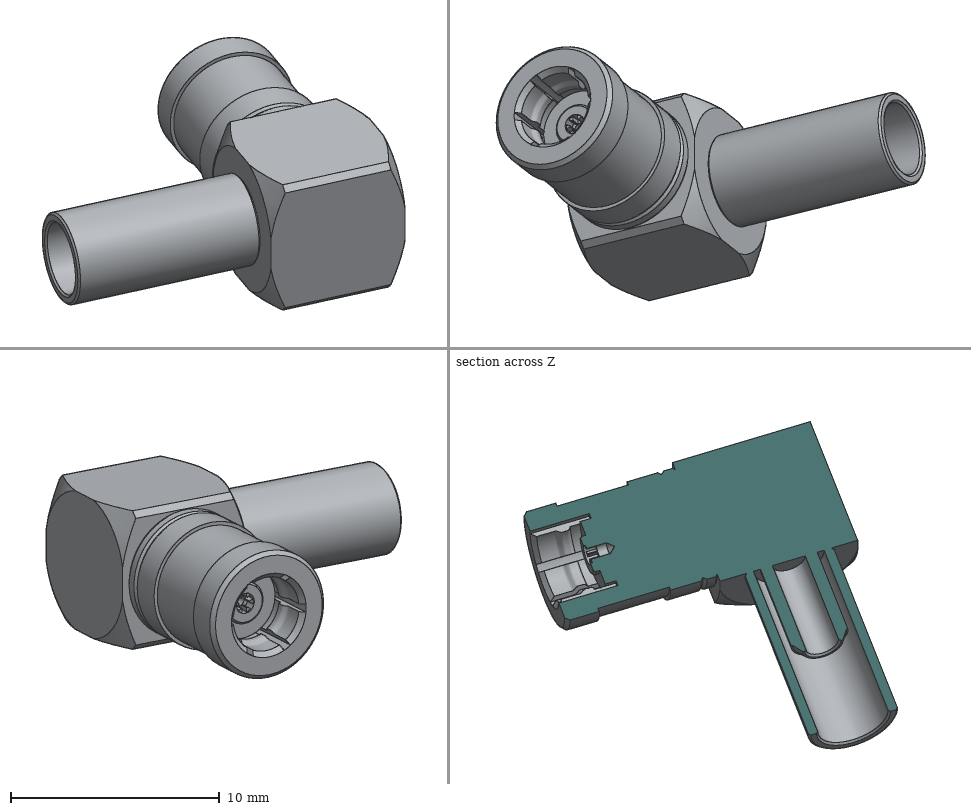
import cadquery as cq
import math


BODY_SIZE = 7.0
BODY_HALF = BODY_SIZE / 2
BODY_EDGE_CHAMFER = 0.3
BODY_FACE_RADIUS = 3.6
BODY_CONE_ANGLE = 33.0

COUPLING_LENGTH = 7.7
OPEN_END_X = -BODY_HALF - COUPLING_LENGTH
COLLAR_RADIUS = 3.2
GRIP_RADIUS = 3.02
COLLAR_CHAMFER = 0.2
GRIP_START = 1.7
GRIP_END = 5.3
GROOVE_START = 6.85
GROOVE_MIDDLE = 7.0
GROOVE_END = 7.15
GROOVE_DEPTH = 0.15
BASE_CHAMFER = 0.1

MOUTH_RADIUS = 2.1
BORE_RADIUS = 1.85
RIDGE_RADIUS = 1.68
RIDGE_RAMP_START = 1.2
RIDGE_START = 1.45
RIDGE_END = 1.85
RIDGE_BACK = 1.95
RIDGE_ROUNDING = 0.15
BORE_DEPTH = 2.45
SLOT_COUNT = 6
SLOT_WIDTH = 0.4
SLOT_DEPTH = 3.0

BOSS_RADIUS = 1.05
BOSS_LENGTH = 0.3
BOSS_TIP = BORE_DEPTH - BOSS_LENGTH
BOSS_CHAMFER = 0.1
CONTACT_RADIUS = 0.5
CONTACT_RECESS = 0.1
SOCKET_RADIUS = 0.3
SOCKET_DEPTH = 1.0
SOCKET_CONE_DEPTH = 0.3
CONTACT_SLOT_COUNT = 6
CONTACT_SLOT_WIDTH = 0.26
CONTACT_SLOT_FIRST_ANGLE = 90
CONTACT_SLOT_DEPTH = 0.5

TUBE_LENGTH = 9.5
TUBE_RADIUS = 2.27
TUBE_BORE_RADIUS = 1.78
TUBE_CHAMFER = 0.1

STEM_LENGTH = 5.0
STEM_RADIUS = 1.45
STEM_CONE_RADIUS = 1.37
STEM_TIP_RADIUS = 1.02
STEM_CONE_LENGTH = 0.5
STEM_BORE_RADIUS = 0.82
STEM_BORE_CHAMFER = 0.1


def revolve_on_x(points):
    """Solid of revolution about the coupling axis, from (distance from open end, radius) points."""
    profile = [(OPEN_END_X + distance, radius) for distance, radius in points]
    return cq.Workplane("XY").polyline(profile).close().revolve(360, (0, 0), (1, 0))


def revolve_on_y(points):
    """Solid of revolution about the tube axis, from (radius, y) points."""
    return cq.Workplane("XY").polyline(points).close().revolve(360, (0, 0), (0, 1))


def radial_slots(count, width, reach, start, end, first_angle=0):
    """An even count of evenly spaced blades along the coupling axis, cut off at the radius `reach`.

    Each box crosses the axis, so it makes two opposite blades.
    """
    envelope = revolve_on_x([(start, 0), (start, reach), (end, reach), (end, 0)])
    middle = OPEN_END_X + (start + end) / 2
    blades = cq.Workplane("XY")
    for index in range(count // 2):
        blade = cq.Workplane("XY").box(end - start, 2 * reach, width).translate((middle, 0, 0))
        blades = blades.union(blade.rotate((0, 0, 0), (1, 0, 0), first_angle + index * 360 / count))
    return blades.intersect(envelope)


def make_body():
    cube = cq.Workplane("XY").box(BODY_SIZE, BODY_SIZE, BODY_SIZE)
    cube = cube.edges("|Y").chamfer(BODY_EDGE_CHAMFER)
    corner_radius = BODY_SIZE
    cone_drop = (corner_radius - BODY_FACE_RADIUS) * math.tan(math.radians(BODY_CONE_ANGLE))
    envelope = revolve_on_y([
        (0, -BODY_HALF),
        (BODY_FACE_RADIUS, -BODY_HALF),
        (corner_radius, -BODY_HALF + cone_drop),
        (corner_radius, BODY_HALF - cone_drop),
        (BODY_FACE_RADIUS, BODY_HALF),
        (0, BODY_HALF),
    ])
    return cube.intersect(envelope)


def make_coupling():
    return revolve_on_x([
        (0, 0),
        (0, COLLAR_RADIUS - COLLAR_CHAMFER),
        (COLLAR_CHAMFER, COLLAR_RADIUS),
        (GRIP_START, COLLAR_RADIUS),
        (GRIP_START, GRIP_RADIUS),
        (GRIP_END, GRIP_RADIUS),
        (GRIP_END, COLLAR_RADIUS),
        (GROOVE_START, COLLAR_RADIUS),
        (GROOVE_MIDDLE, COLLAR_RADIUS - GROOVE_DEPTH),
        (GROOVE_END, COLLAR_RADIUS),
        (COUPLING_LENGTH - BASE_CHAMFER, COLLAR_RADIUS),
        (COUPLING_LENGTH, COLLAR_RADIUS - BASE_CHAMFER),
        (COUPLING_LENGTH, 0),
    ])


def make_coupling_cavity():
    bore = revolve_on_x([
        (0, 0),
        (0, MOUTH_RADIUS),
        (MOUTH_RADIUS - BORE_RADIUS, BORE_RADIUS),
        (RIDGE_RAMP_START, BORE_RADIUS),
        (RIDGE_START, RIDGE_RADIUS),
        (RIDGE_END, RIDGE_RADIUS),
        (RIDGE_BACK, BORE_RADIUS),
        (BORE_DEPTH, BORE_RADIUS),
        (BORE_DEPTH, 0),
    ])
    ridge_edges = cq.selectors.BoxSelector(
        (OPEN_END_X + RIDGE_RAMP_START - RIDGE_ROUNDING, -MOUTH_RADIUS, -MOUTH_RADIUS),
        (OPEN_END_X + (RIDGE_END + RIDGE_BACK) / 2, MOUTH_RADIUS, MOUTH_RADIUS),
    )
    bore = bore.edges("%CIRCLE").edges(ridge_edges).fillet(RIDGE_ROUNDING)
    return bore.union(radial_slots(SLOT_COUNT, SLOT_WIDTH, MOUTH_RADIUS, 0, SLOT_DEPTH))


def make_insulator():
    return revolve_on_x([
        (BOSS_TIP, 0),
        (BOSS_TIP, BOSS_RADIUS - BOSS_CHAMFER),
        (BOSS_TIP + BOSS_CHAMFER, BOSS_RADIUS),
        (BORE_DEPTH, BOSS_RADIUS),
        (BORE_DEPTH, BORE_RADIUS),
        (SLOT_DEPTH, BORE_RADIUS),
        (SLOT_DEPTH, 0),
    ])


def make_contact_socket():
    contact_face = BOSS_TIP + CONTACT_RECESS
    socket_end = contact_face + SOCKET_DEPTH
    socket = revolve_on_x([
        (BOSS_TIP, 0),
        (BOSS_TIP, CONTACT_RADIUS),
        (contact_face, CONTACT_RADIUS),
        (contact_face, SOCKET_RADIUS),
        (socket_end, SOCKET_RADIUS),
        (socket_end + SOCKET_CONE_DEPTH, 0),
    ])
    slots = radial_slots(
        CONTACT_SLOT_COUNT,
        CONTACT_SLOT_WIDTH,
        CONTACT_RADIUS,
        contact_face,
        contact_face + CONTACT_SLOT_DEPTH,
        CONTACT_SLOT_FIRST_ANGLE,
    )
    return socket.union(slots)


def make_tube():
    root = -BODY_HALF
    end = root - TUBE_LENGTH
    return revolve_on_y([
        (TUBE_BORE_RADIUS, root),
        (TUBE_RADIUS - TUBE_CHAMFER, root),
        (TUBE_RADIUS, root - TUBE_CHAMFER),
        (TUBE_RADIUS, end + TUBE_CHAMFER),
        (TUBE_RADIUS - TUBE_CHAMFER, end),
        (TUBE_BORE_RADIUS + TUBE_CHAMFER, end),
        (TUBE_BORE_RADIUS, end + TUBE_CHAMFER),
    ])


def make_stem():
    root = -BODY_HALF
    tip = root - STEM_LENGTH
    return revolve_on_y([
        (STEM_BORE_RADIUS, root),
        (STEM_RADIUS, root),
        (STEM_RADIUS, tip + STEM_CONE_LENGTH),
        (STEM_CONE_RADIUS, tip + STEM_CONE_LENGTH),
        (STEM_TIP_RADIUS, tip),
        (STEM_BORE_RADIUS + STEM_BORE_CHAMFER, tip),
        (STEM_BORE_RADIUS, tip + STEM_BORE_CHAMFER),
    ])


coupling = make_coupling().cut(make_coupling_cavity())
coupling = coupling.union(make_insulator()).cut(make_contact_socket())
result = make_body().union(coupling).union(make_tube()).union(make_stem())